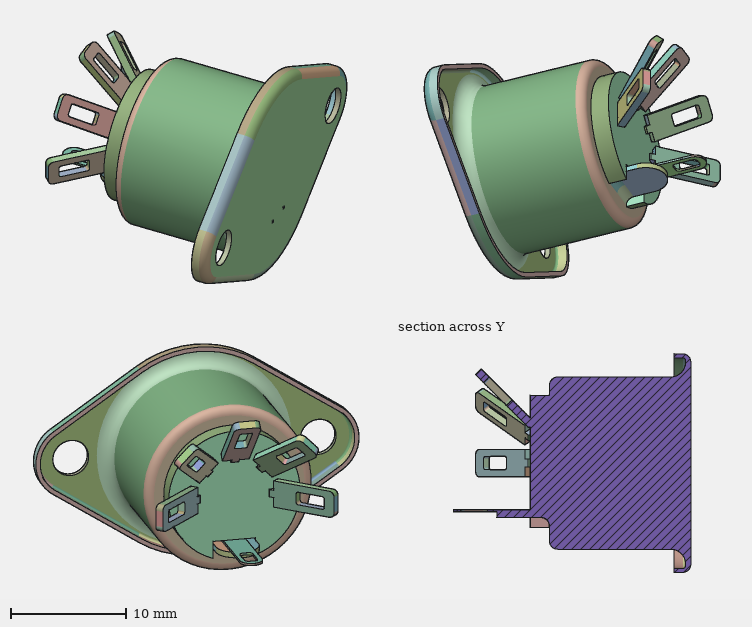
import cadquery as cq
import math


flange_depth = 1.5
sheet = 0.5
flange_crown_radius = 9.5
flange_length = 29.0
ear_radius = 3.4
ear_offset = flange_length / 2 - ear_radius
mount_hole_diameter = 3.2
flange_front_round = 0.75
rim_width = 0.4
tray_corner_round = 0.2

shell_radius = 7.5
shell_end = -12.3
shell_end_round = 0.75
flare_radius = 1.25

plug_radius = 5.9
plug_length = 1.65
plug_end = shell_end - plug_length

contact_angles = [-90, -45, 0, 45, 90]
contact_tilt = 45
contact_length = 6.05
contact_width = 2.4
contact_thickness = 0.7
contact_root_radius = 3.9
contact_embed = 0.03
contact_root_x = plug_end + contact_embed
contact_tip_round = 0.5
slot_length = 2.8
slot_width = 1.15
slot_tip_gap = 1.0
slot_corner_round = 0.2
stem_width = 0.67
stem_step = 0.3
stem_embed = 0.2

lug_top = -4.23
lug_bottom = lug_top - sheet
lug_width = 3.8
lug_overhang = 1.0
lug_bend_radius = 0.7
tab_thickness = 0.2
tab_top = lug_top + tab_thickness
tab_width = 2.0
tab_tip_x = -20.6
tab_slot_length = 2.3
tab_slot_width = 1.15
tab_slot_tip_gap = 0.65
tab_slot_round = 0.35
gap_width = 0.2


def flange_outline(inset):
    """Crown and ear arcs joined by their common tangents, moved inward by inset."""
    crown = flange_crown_radius - inset
    ear = ear_radius - inset
    tangent_angle = math.acos((crown - ear) / ear_offset)
    cos_t = math.cos(tangent_angle)
    sin_t = math.sin(tangent_angle)
    crown_y, crown_z = crown * cos_t, crown * sin_t
    ear_y, ear_z = ear_offset + ear * cos_t, ear * sin_t
    return (
        cq.Workplane("YZ")
        .moveTo(-crown_y, crown_z)
        .threePointArc((0, crown), (crown_y, crown_z))
        .lineTo(ear_y, ear_z)
        .threePointArc((ear_offset + ear, 0), (ear_y, -ear_z))
        .lineTo(crown_y, -crown_z)
        .threePointArc((0, -crown), (-crown_y, -crown_z))
        .lineTo(-ear_y, -ear_z)
        .threePointArc((-ear_offset - ear, 0), (-ear_y, ear_z))
        .close()
    )


def box_between(x_range, y_range, z_range):
    """Axis-aligned box spanning the given (low, high) ranges."""
    low = [r[0] for r in (x_range, y_range, z_range)]
    size = [r[1] - r[0] for r in (x_range, y_range, z_range)]
    return cq.Workplane("XY").box(*size, centered=False).translate(tuple(low))


def make_flange():
    flange = flange_outline(0).extrude(-flange_depth).faces(">X").edges().fillet(flange_front_round)
    tray = flange_outline(rim_width).extrude(-flange_depth)
    tray = tray.faces(">X").edges().fillet(tray_corner_round).translate((-sheet, 0, 0))
    holes = (
        cq.Workplane("YZ")
        .pushPoints([(-ear_offset, 0), (ear_offset, 0)])
        .circle(mount_hole_diameter / 2)
        .extrude(-flange_depth)
    )
    return flange.cut(tray).cut(holes)


def make_shell():
    """Solid of revolution: rounded end, straight wall and flare into the flange."""
    diagonal = math.sqrt(0.5)
    end_center = (shell_end + shell_end_round, shell_radius - shell_end_round)
    flare_center = (-sheet - flare_radius, shell_radius + flare_radius)
    end_mid = (end_center[0] - shell_end_round * diagonal, end_center[1] + shell_end_round * diagonal)
    flare_mid = (flare_center[0] + flare_radius * diagonal, flare_center[1] - flare_radius * diagonal)
    flange_joint_x = -sheet / 2
    return (
        cq.Workplane("XY")
        .moveTo(shell_end, 0)
        .lineTo(shell_end, end_center[1])
        .threePointArc(end_mid, (end_center[0], shell_radius))
        .lineTo(flare_center[0], shell_radius)
        .threePointArc(flare_mid, (-sheet, flare_center[1]))
        .lineTo(flange_joint_x, flare_center[1])
        .lineTo(flange_joint_x, 0)
        .close()
        .revolve(360, (0, 0, 0), (1, 0, 0))
    )


def make_plug():
    """Disc on the shell end, notched from below to clear the grounding lug."""
    plug = cq.Workplane("YZ").workplane(offset=shell_end).circle(plug_radius).extrude(plug_end - shell_end)
    half_notch = lug_width / 2
    notch = box_between((plug_end, shell_end), (-half_notch, half_notch), (-plug_radius, tab_top))
    return plug.cut(notch)


def make_contact():
    """Upper contact: slotted blade leaning outward, with a narrow stem into the plug."""
    blade = box_between(
        (-contact_length, 0), (-contact_width / 2, contact_width / 2), (-contact_thickness, 0)
    )
    blade = blade.edges("|Z and <X").fillet(contact_tip_round)
    slot_start = slot_tip_gap - contact_length
    slot = box_between(
        (slot_start, slot_start + slot_length), (-slot_width / 2, slot_width / 2), (-contact_thickness, 0)
    )
    blade = blade.cut(slot.edges("|Z").fillet(slot_corner_round))
    blade = blade.rotate((0, 0, 0), (0, 1, 0), contact_tilt)
    blade = blade.translate((contact_root_x, 0, contact_root_radius))

    tilt = math.radians(contact_tilt)
    inner_x = contact_root_x - contact_thickness * math.sin(tilt)
    inner_z = contact_root_radius - contact_thickness * math.cos(tilt)
    stem_z = inner_z - stem_step
    stem = (
        cq.Workplane("XZ")
        .moveTo(contact_root_x, contact_root_radius)
        .lineTo(inner_x, inner_z)
        .lineTo(inner_x + stem_step / math.tan(tilt), stem_z)
        .lineTo(plug_end + stem_embed, stem_z)
        .lineTo(plug_end + stem_embed, contact_root_radius)
        .close()
        .extrude(stem_width / 2, both=True)
    )
    return blade.union(stem)


def make_lug():
    """Round-ended lug with the bend that joins its underside to the shell end."""
    radius = lug_width / 2
    round_center_x = plug_end - lug_overhang
    lug = (
        cq.Workplane("XY")
        .workplane(offset=lug_bottom)
        .moveTo(shell_end, radius)
        .lineTo(round_center_x, radius)
        .threePointArc((round_center_x - radius, 0), (round_center_x, -radius))
        .lineTo(shell_end, -radius)
        .close()
        .extrude(sheet)
    )
    bend_x = shell_end - lug_bend_radius
    bend_z = lug_bottom - lug_bend_radius
    bend_block = box_between((bend_x, shell_end), (-radius, radius), (bend_z, lug_bottom))
    bend_hollow = (
        cq.Workplane("XZ").center(bend_x, bend_z).circle(lug_bend_radius).extrude(radius, both=True)
    )
    return lug.union(bend_block.cut(bend_hollow))


def make_solder_tab():
    radius = tab_width / 2
    tip_center_x = tab_tip_x + radius
    tab = (
        cq.Workplane("XY")
        .workplane(offset=lug_top)
        .moveTo(shell_end, radius)
        .lineTo(tip_center_x, radius)
        .threePointArc((tab_tip_x, 0), (tip_center_x, -radius))
        .lineTo(shell_end, -radius)
        .close()
        .extrude(tab_thickness)
    )
    slot_x = tab_tip_x + tab_slot_tip_gap
    slot = box_between(
        (slot_x, slot_x + tab_slot_length), (-tab_slot_width / 2, tab_slot_width / 2), (lug_top, tab_top)
    )
    return tab.cut(slot.edges("|Z").fillet(tab_slot_round))


def make_gap(side):
    """Narrow through passage beside the solder tab."""
    inner = side * tab_width / 2
    outer = inner + side * gap_width
    return box_between((shell_end, 0), (min(inner, outer), max(inner, outer)), (lug_top, tab_top))


result = make_flange().union(make_shell()).union(make_plug())
contact = make_contact()
for angle in contact_angles:
    result = result.union(contact.rotate((0, 0, 0), (1, 0, 0), angle))
result = result.union(make_lug()).union(make_solder_tab())
for side in (-1, 1):
    result = result.cut(make_gap(side))